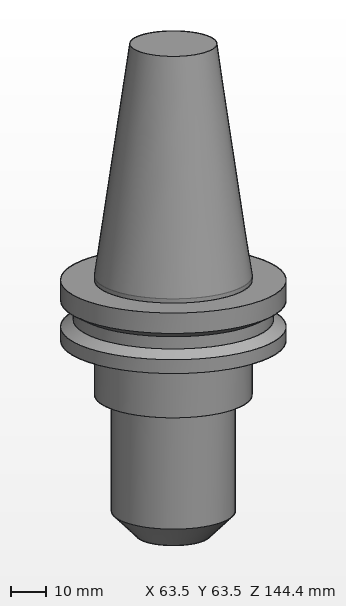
import cadquery as cq
import math

gauge_diameter = 44.45
taper_length = 68.25
taper_ratio = 7 / 24
taper_top_diameter = gauge_diameter - taper_length * taper_ratio
neck_length = 1.25

flange_diameter = 63.5
flange_bottom_depth = 19.05
groove_center_depth = 11.1125
groove_floor_width = 3.6
groove_floor_diameter = 56.36
groove_flank_angle = 30.0
groove_flank_height = (
    (flange_diameter - groove_floor_diameter) / 2 * math.tan(math.radians(groove_flank_angle))
)

collar_diameter = gauge_diameter
collar_bottom_depth = 35.0
nose_diameter = 34.925
nose_bottom_depth = 76.2
nose_chamfer = 7.0


def cylinder(diameter, top_z, bottom_z):
    """Cylinder on the Z axis between two heights."""
    return cq.Workplane("XY").workplane(offset=bottom_z).circle(diameter / 2).extrude(top_z - bottom_z)


def make_shank():
    """Truncated cone above the gauge line with a short straight neck below it."""
    cone_profile = [
        (0, 0),
        (gauge_diameter / 2, 0),
        (taper_top_diameter / 2, taper_length),
        (0, taper_length),
    ]
    cone = cq.Workplane("XZ").polyline(cone_profile).close().revolve(360, (0, 0), (0, 1))
    return cone.union(cylinder(gauge_diameter, 0, -neck_length))


def make_groove_ring():
    """Ring of V-groove section to remove from the rim of the flange."""
    half_floor = groove_floor_width / 2
    half_mouth = half_floor + groove_flank_height
    section = [
        (groove_floor_diameter / 2, -groove_center_depth + half_floor),
        (flange_diameter / 2, -groove_center_depth + half_mouth),
        (flange_diameter / 2, -groove_center_depth - half_mouth),
        (groove_floor_diameter / 2, -groove_center_depth - half_floor),
    ]
    return cq.Workplane("XZ").polyline(section).close().revolve(360, (0, 0), (0, 1))


def make_flange():
    """Flange disc with the V-groove around its rim."""
    return cylinder(flange_diameter, -neck_length, -flange_bottom_depth).cut(make_groove_ring())


def make_nose():
    """Collar followed by the smaller nose, chamfered at its lower end."""
    collar = cylinder(collar_diameter, -flange_bottom_depth, -collar_bottom_depth)
    nose = cylinder(nose_diameter, -collar_bottom_depth, -nose_bottom_depth)
    return collar.union(nose.faces("<Z").chamfer(nose_chamfer))


result = make_shank().union(make_flange()).union(make_nose())